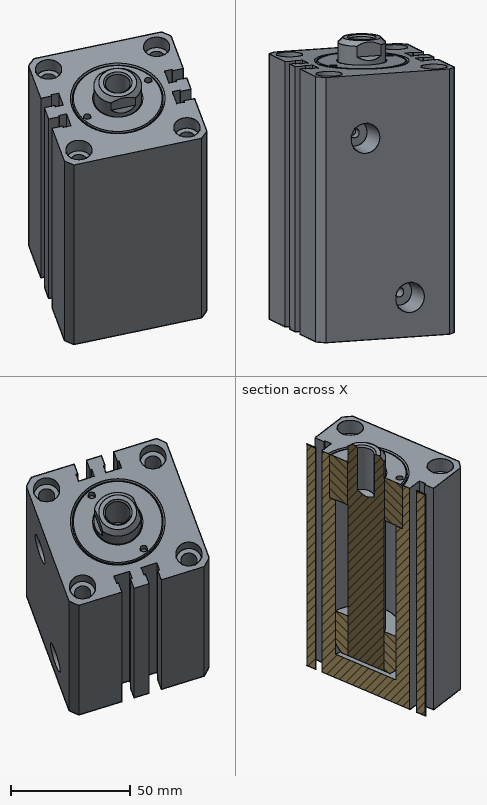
import cadquery as cq
import math


TOTAL_HEIGHT = 123.0
BODY_WIDTH = 62.0
ROD_STICKOUT = 10.0
BODY_HEIGHT = TOTAL_HEIGHT - ROD_STICKOUT
CORNER_DIAMETER = 83.1

BORE_DIAMETER = 32.0
BORE_FLOOR_Z = 12.3
GLAND_DIAMETER = 38.1
GLAND_LENGTH = 22.1
GLAND_BOTTOM_Z = BODY_HEIGHT - GLAND_LENGTH
SEAT_CHAMFER = 0.7

MOUNT_PITCH = 47.0
MOUNT_DIAMETER = 6.8
MOUNT_CBORE_DIAMETER = 11.0
MOUNT_CBORE_DEPTH = 6.6

SLOT_OFFSET = 6.0
SLOT_MOUTH_WIDTH = 5.4
SLOT_MOUTH_DEPTH = 4.7
SLOT_WIDTH = 6.9
SLOT_DEPTH = 8.0

PORT_MOUTH_DIAMETER = 12.8
PORT_FLOOR_DIAMETER = 11.1
PORT_DEPTH = 12.9
PORT_PASSAGE_DIAMETER = 4.0
PORT_OFFSET_Y = 10.0
LOWER_PORT_Z = 16.9
PORT_SPACING_Z = 69.1
PORT_CENTRES = [
    (PORT_OFFSET_Y, LOWER_PORT_Z + PORT_SPACING_Z),
    (-PORT_OFFSET_Y, LOWER_PORT_Z),
]

ROD_DIAMETER = 20.0
ROD_CHAMFER = 2.1
FLATS_WIDTH = 17.0
FLATS_BASE_HEIGHT = 3.3
THREAD_DIAMETER = 10.5
THREAD_CHAMFER = 0.7
THREAD_DEPTH = 22.1
DRILL_POINT_ANGLE = 118.0

PISTON_BOTTOM_Z = 14.0
PISTON_TOP_Z = 34.5
RIM_CHAMFER = 2.5
RIM_STEP_HEIGHT = 0.9
RIM_STEP_WIDTH = 0.5

GLAND_OUTER_CHAMFER = 0.5
GLAND_INNER_CHAMFER = 0.5
SPANNER_HOLE_DIAMETER = 3.0
SPANNER_HOLE_DEPTH = 3.7
SPANNER_CIRCLE_RADIUS = 16.4
SPANNER_ANGLE = 113.0


def cylinder(diameter, bottom, top):
    """Upright cylinder on the Z axis between two heights."""
    return cq.Workplane("XY").workplane(offset=bottom).circle(diameter / 2).extrude(top - bottom)


def revolved(profile):
    """Solid of revolution about the Z axis from a closed (radius, height) outline."""
    return cq.Workplane("XZ").polyline(profile).close().revolve(360, (0, 0), (0, 1))


def drilled_hole(diameter, top, depth):
    """Cutter for a blind hole on the Z axis that ends in a drill point."""
    radius = diameter / 2
    point_height = radius / math.tan(math.radians(DRILL_POINT_ANGLE / 2))
    profile = [
        (0, top),
        (radius, top),
        (radius, top - depth),
        (0, top - depth - point_height),
    ]
    return revolved(profile)


def sensor_slots():
    """Cutters for the four T-shaped slots, two on each Y face."""
    cutters = cq.Workplane("XY")
    for side in (1, -1):
        for x in (SLOT_OFFSET, -SLOT_OFFSET):
            for width, start, end in (
                (SLOT_MOUTH_WIDTH, 0, SLOT_DEPTH),
                (SLOT_WIDTH, SLOT_MOUTH_DEPTH, SLOT_DEPTH),
            ):
                y = side * (BODY_WIDTH / 2 - (start + end) / 2)
                slot = cq.Workplane("XY").center(x, y).rect(width, end - start).extrude(BODY_HEIGHT)
                cutters = cutters.add(slot)
    return cutters.combine()


def port(y, z):
    """Cutter for one air port: a tapered blind bore and a passage into the cylinder bore."""
    face = cq.Workplane("YZ", origin=(-BODY_WIDTH / 2, y, z))
    taper = math.degrees(math.atan((PORT_MOUTH_DIAMETER - PORT_FLOOR_DIAMETER) / 2 / PORT_DEPTH))
    bore = face.circle(PORT_MOUTH_DIAMETER / 2).extrude(PORT_DEPTH, taper=taper)
    passage = face.circle(PORT_PASSAGE_DIAMETER / 2).extrude(BODY_WIDTH / 2)
    return bore.union(passage)


def cylinder_bore():
    """Cutter for the blind cylinder bore and the chamfered gland seat above it."""
    bore_radius = BORE_DIAMETER / 2
    seat_radius = GLAND_DIAMETER / 2
    profile = [
        (0, BORE_FLOOR_Z),
        (bore_radius, BORE_FLOOR_Z),
        (bore_radius, GLAND_BOTTOM_Z),
        (seat_radius, GLAND_BOTTOM_Z),
        (seat_radius, BODY_HEIGHT - SEAT_CHAMFER),
        (seat_radius + SEAT_CHAMFER, BODY_HEIGHT),
        (0, BODY_HEIGHT),
    ]
    return revolved(profile)


def make_housing():
    block = cq.Workplane("XY").rect(BODY_WIDTH, BODY_WIDTH).extrude(BODY_HEIGHT)
    housing = block.intersect(cylinder(CORNER_DIAMETER, 0, BODY_HEIGHT))
    housing = housing.cut(sensor_slots())
    housing = (
        housing.faces(">Z").workplane(origin=(0, 0, BODY_HEIGHT))
        .rect(MOUNT_PITCH, MOUNT_PITCH, forConstruction=True)
        .vertices()
        .cboreHole(MOUNT_DIAMETER, MOUNT_CBORE_DIAMETER, MOUNT_CBORE_DEPTH)
    )
    housing = housing.cut(cylinder_bore())
    for y, z in PORT_CENTRES:
        housing = housing.cut(port(y, z))
    return housing


def wrench_flats():
    """Cutters for the two flats, each ending below in a 45 degree run-out."""
    flat = FLATS_WIDTH / 2
    base = BODY_HEIGHT + FLATS_BASE_HEIGHT
    reach = ROD_DIAMETER / 2
    profile = [
        (flat, TOTAL_HEIGHT),
        (flat, base),
        (reach, base - (reach - flat)),
        (reach, TOTAL_HEIGHT),
    ]
    right = cq.Workplane("XZ").polyline(profile).close().extrude(reach, both=True)
    return right.union(right.mirror("YZ"))


def make_rod():
    rod = cylinder(ROD_DIAMETER, PISTON_BOTTOM_Z, TOTAL_HEIGHT)
    rod = rod.faces(">Z").chamfer(ROD_CHAMFER)
    rod = rod.cut(wrench_flats())
    rod = rod.cut(drilled_hole(THREAD_DIAMETER, TOTAL_HEIGHT, THREAD_DEPTH))
    return rod.faces(">Z").edges(cq.selectors.RadiusNthSelector(0)).chamfer(THREAD_CHAMFER)


def make_piston():
    outer_radius = BORE_DIAMETER / 2
    step_radius = outer_radius - RIM_STEP_WIDTH
    step_z = PISTON_BOTTOM_Z + RIM_CHAMFER
    profile = [
        (ROD_DIAMETER / 2, PISTON_BOTTOM_Z),
        (step_radius - RIM_CHAMFER, PISTON_BOTTOM_Z),
        (step_radius, step_z),
        (outer_radius, step_z + RIM_STEP_HEIGHT),
        (outer_radius, PISTON_TOP_Z),
        (ROD_DIAMETER / 2, PISTON_TOP_Z),
    ]
    return revolved(profile)


def make_gland():
    gland = cylinder(GLAND_DIAMETER, GLAND_BOTTOM_Z, BODY_HEIGHT)
    gland = gland.faces(">Z").chamfer(GLAND_OUTER_CHAMFER)
    gland = gland.cut(cylinder(ROD_DIAMETER, GLAND_BOTTOM_Z, BODY_HEIGHT))
    gland = gland.faces(">Z").edges(cq.selectors.RadiusNthSelector(0)).chamfer(GLAND_INNER_CHAMFER)
    spanner_hole = drilled_hole(SPANNER_HOLE_DIAMETER, BODY_HEIGHT, SPANNER_HOLE_DEPTH)
    spanner_hole = spanner_hole.translate((SPANNER_CIRCLE_RADIUS, 0, 0))
    for angle in (SPANNER_ANGLE, SPANNER_ANGLE + 180):
        gland = gland.cut(spanner_hole.rotate((0, 0, 0), (0, 0, 1), angle))
    return gland


housing = make_housing()
gland = make_gland()
rod = make_rod()
piston = make_piston()

result = cq.Compound.makeCompound([housing.val(), gland.val(), rod.val(), piston.val()])